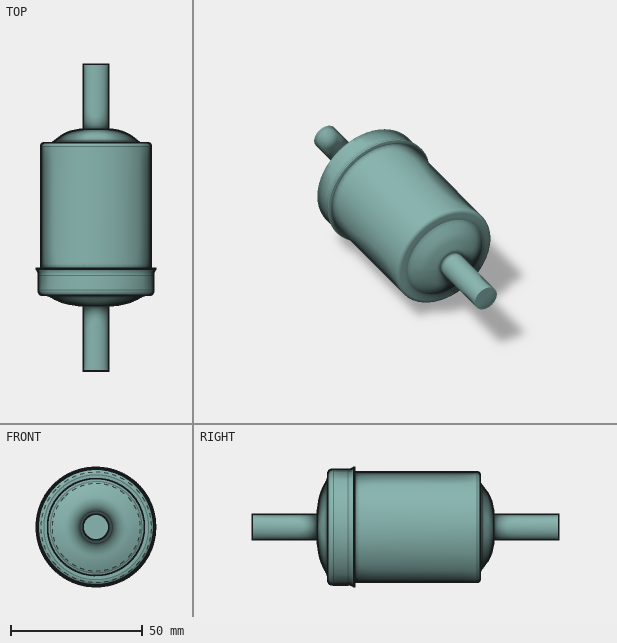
import cadquery as cq

overall_length = 117
half_length = overall_length / 2
stem_radius = 4.9

body_radius = 21.1
body_end_y = 28.5
body_edge_radius = 1.4

rim_radius = 22.76
rim_y = -19.3
rim_thickness = 0.4
collar_radius = 22.1
flare_end_y = -22.0
flare_mid_radius = 22.29
flare_mid_y = -20.4
collar_end_y = -29.7
collar_edge_radius = 2.1

dome_flat_radius = 6.2
dome_end_y = 33.6

front_root_radius = 18.5
front_dome_radius = 17.4
front_dome_y = -30.1
front_dome_mid_radius = 13.1
front_dome_mid_y = -32.2

rear_root_radius = 16.7
rear_dome_radius = 15.7
rear_dome_y = 29.2
rear_dome_mid_radius = 11.3
rear_dome_mid_y = 32.2

profile = (
    cq.Workplane("XY")
    .moveTo(0, -half_length)
    .lineTo(stem_radius, -half_length)
    .lineTo(stem_radius, -dome_end_y)
    .lineTo(dome_flat_radius, -dome_end_y)
    .threePointArc((front_dome_mid_radius, front_dome_mid_y), (front_dome_radius, front_dome_y))
    .lineTo(front_root_radius, collar_end_y)
    .lineTo(collar_radius, collar_end_y)
    .lineTo(collar_radius, flare_end_y)
    .threePointArc((flare_mid_radius, flare_mid_y), (rim_radius, rim_y - rim_thickness))
    .lineTo(rim_radius, rim_y)
    .lineTo(body_radius, rim_y)
    .lineTo(body_radius, body_end_y)
    .lineTo(rear_root_radius, body_end_y)
    .lineTo(rear_dome_radius, rear_dome_y)
    .threePointArc((rear_dome_mid_radius, rear_dome_mid_y), (dome_flat_radius, dome_end_y))
    .lineTo(stem_radius, dome_end_y)
    .lineTo(stem_radius, half_length)
    .lineTo(0, half_length)
    .close()
)
canister = profile.revolve(360, (0, 0, 0), (0, 1, 0))


def round_outer_edge(solid, radius, end_y, edge_radius):
    """Round the circular edge of the given radius at the given Y position."""
    margin = 0.1
    edge_zone = cq.selectors.BoxSelector(
        (-radius - margin, end_y - margin, -radius - margin),
        (radius + margin, end_y + margin, radius + margin),
        boundingbox=True,
    )
    outer_edge = solid.edges(edge_zone).edges(cq.selectors.RadiusNthSelector(-1))
    return outer_edge.fillet(edge_radius)


canister = round_outer_edge(canister, collar_radius, collar_end_y, collar_edge_radius)
result = round_outer_edge(canister, body_radius, body_end_y, body_edge_radius)